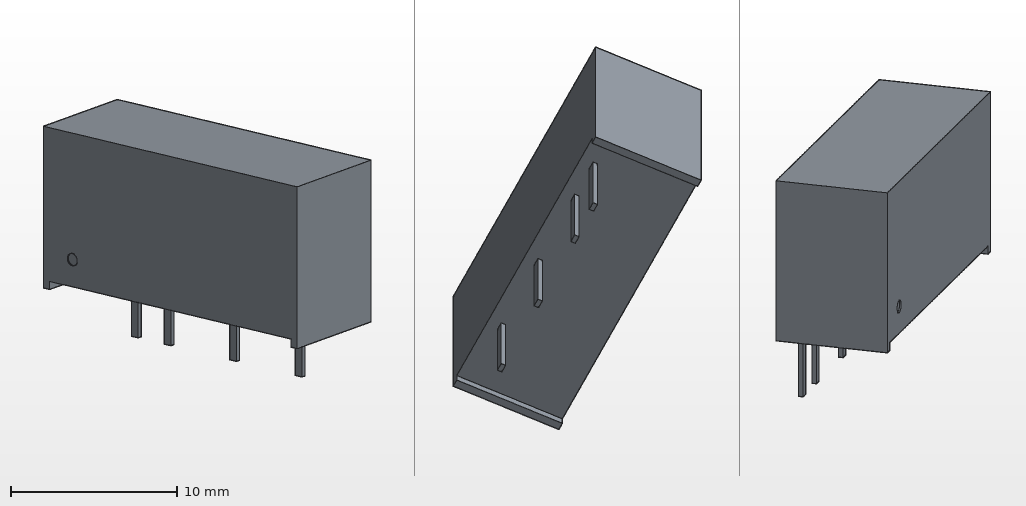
import cadquery as cq

case_length = 19.65
case_depth = 7.05
case_height = 10.18
foot_length = 0.5
foot_height = 0.51

total_height = 14.27
pin_width = 0.53
pin_thickness = 0.3
pin_pitch = 2.53
pin_grid_steps = (-3, -2, 0, 2)
pin_to_back_face = 0.92

marker_diameter = 0.77
marker_depth = 0.1
marker_height = 2.22
marker_to_end = 2.24

pin_length = total_height - case_height + foot_height
pin_y = case_depth / 2 - pin_to_back_face
marker_x = marker_to_end - case_length / 2


def make_case():
    """Block with its underside raised between the two end feet; z = 0 is the foot bottom."""
    block = cq.Workplane("XY").box(case_length, case_depth, case_height, centered=(True, True, False))
    gap = cq.Workplane("XY").box(
        case_length - 2 * foot_length, case_depth, foot_height, centered=(True, True, False)
    )
    return block.cut(gap)


def make_pins():
    """Rectangular pins hanging from the raised underside."""
    return (
        cq.Workplane("XY", origin=(0, pin_y, foot_height))
        .pushPoints([(step * pin_pitch, 0) for step in pin_grid_steps])
        .rect(pin_width, pin_thickness)
        .extrude(-pin_length)
    )


def make_marker():
    """Cylinder reaching from the front face into the case."""
    return (
        cq.Workplane("XZ", origin=(marker_x, -case_depth / 2, marker_height))
        .circle(marker_diameter / 2)
        .extrude(-marker_depth)
    )


result = make_case().union(make_pins()).cut(make_marker())